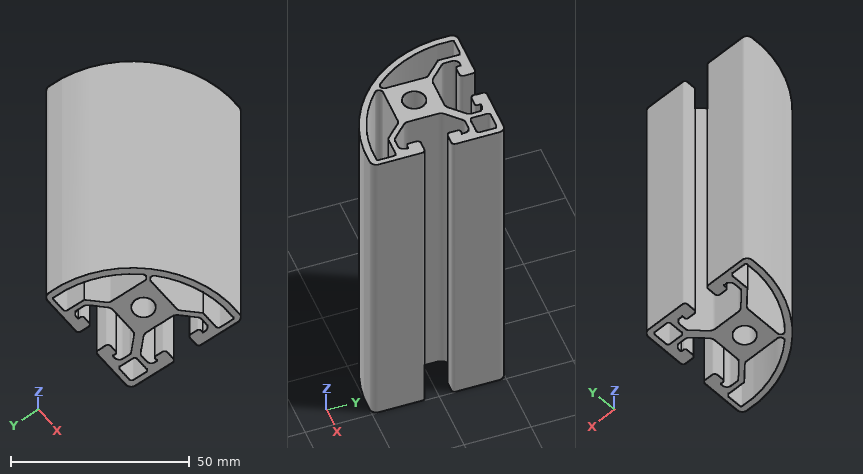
import cadquery as cq
import math

side = 40.0
length = 100.0
half = side / 2
corner_radius = 2.0
bore_diameter = 6.8

flat_start = 13.5
arc_radius = 36.4
curved_wall = 2.1

mouth_half = 4.0
lip_half = 8.0
slot_half = 10.5
lip_level = 15.3
hook_level = 16.9
shoulder_level = 12.4
floor_level = 7.3
floor_half = slot_half - (shoulder_level - floor_level)
mouth_radius = 1.0
lip_radius = 0.7
hook_radius = 1.7
shoulder_radius = 1.5
floor_radius = 2.5

chamber_inner = 12.1
chamber_outer = 18.1
chamber_bottom = 17.9
square_radius = 0.8
core_half = 7.1
slant_offset = 0.5
chamber_end = 18.4
tip_radius = 1.2
slant_radius = 1.5
end_radius = 0.9
bottom_radius = 0.4

arc_mid = (flat_start - half) / 2
half_chord = (flat_start + half) / math.sqrt(2)
arc_centre = arc_mid + math.sqrt(arc_radius**2 - half_chord**2) / math.sqrt(2)
inner_radius = arc_radius - curved_wall
arc_crown = arc_centre - arc_radius / math.sqrt(2)


def round_edges(body, points, radius):
    """Fillet the Z-direction edge nearest to each XY point."""
    for x, y in points:
        edge = cq.selectors.NearestToPointSelector((x, y, length / 2))
        body = body.edges("|Z").edges(edge).fillet(radius)
    return body


def prism(points):
    return cq.Workplane("XY").polyline(points).close().extrude(length)


def mirrored(u, v):
    return [(-u, v), (u, v)]


def make_blank():
    """Square-backed quarter-round bar with its three corners rounded."""
    body = (
        cq.Workplane("XY")
        .moveTo(-half, flat_start)
        .threePointArc((arc_crown, arc_crown), (flat_start, -half))
        .lineTo(half, -half)
        .lineTo(half, half)
        .lineTo(-half, half)
        .close()
        .extrude(length)
    )
    return round_edges(body, [(-half, half), (half, half), (half, -half)], corner_radius)


def make_slot():
    """T-slot opening toward +Y, with hooked lips and a tapered floor."""
    right = [
        (mouth_half, half),
        (mouth_half, lip_level),
        (lip_half, lip_level),
        (lip_half, hook_level),
        (slot_half, hook_level),
        (slot_half, shoulder_level),
        (floor_half, floor_level),
    ]
    left = [(-u, v) for u, v in reversed(right)]
    slot = prism(right + left)
    slot = round_edges(slot, mirrored(mouth_half, lip_level), mouth_radius)
    slot = round_edges(slot, mirrored(lip_half, lip_level), lip_radius)
    slot = round_edges(slot, mirrored(slot_half, hook_level), hook_radius)
    slot = round_edges(slot, mirrored(slot_half, shoulder_level), shoulder_radius)
    return round_edges(slot, mirrored(floor_half, floor_level), floor_radius)


def make_curved_chamber():
    """Chamber below the core, between its underside and the curved wall."""
    outline = prism([
        (-half, -core_half),
        (core_half - slant_offset, -core_half),
        (chamber_inner - slant_offset, -chamber_inner),
        (chamber_end, -chamber_inner),
        (chamber_end, -chamber_bottom),
        (-half, -chamber_bottom),
    ])
    wall_disc = cq.Workplane("XY").center(arc_centre, arc_centre).circle(inner_radius).extrude(length)
    chamber = outline.intersect(wall_disc)
    tip_x = arc_centre - math.sqrt(inner_radius**2 - (arc_centre + core_half) ** 2)
    chamber = round_edges(chamber, [(tip_x, -core_half)], tip_radius)
    chamber = round_edges(chamber, [(core_half - slant_offset, -core_half)], slant_radius)
    chamber = round_edges(chamber, [(chamber_end, -chamber_inner)], end_radius)
    return round_edges(chamber, [(chamber_end, -chamber_bottom)], bottom_radius)


def swap_axes(body):
    """Mirror across the diagonal plane X = Y."""
    return body.rotate((0, 0, 0), (0, 0, 1), 90).mirror("YZ")


slot = make_slot()
curved_chamber = make_curved_chamber()

square_size = chamber_outer - chamber_inner
square_centre = (chamber_outer + chamber_inner) / 2
square_chamber = (
    cq.Workplane("XY")
    .center(square_centre, square_centre)
    .rect(square_size, square_size)
    .extrude(length)
    .edges("|Z")
    .fillet(square_radius)
)

bore = cq.Workplane("XY").circle(bore_diameter / 2).extrude(length)

cavities = [square_chamber, bore]
for cavity in (slot, curved_chamber):
    cavities += [cavity, swap_axes(cavity)]

result = make_blank()
for cavity in cavities:
    result = result.cut(cavity)

for x, y in mirrored(mouth_half, half):
    result = round_edges(result, [(x, y), (y, x)], mouth_radius)